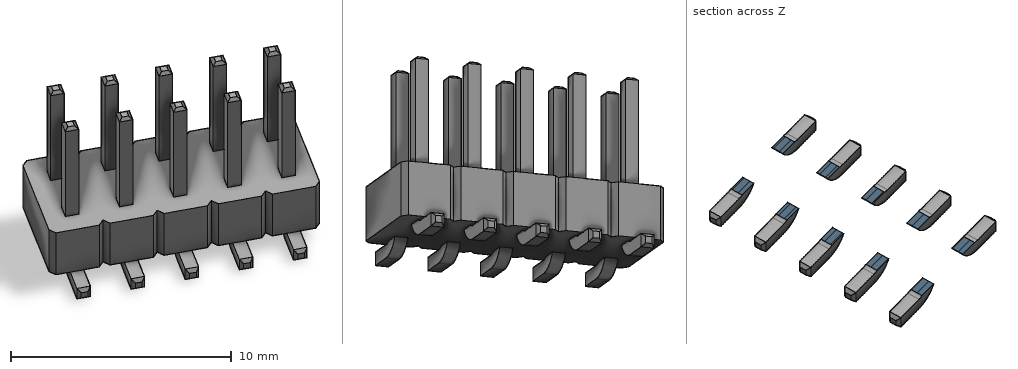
import cadquery as cq
import math

pitch = 2.54
row_count = 5

body_length = row_count * pitch
body_width = 5.1
body_height = 2.54
body_bottom = 0.72
notch_depth = 0.29
notch_half_length = 0.25

pin_side = 0.64
pin_top = 8.53
lead_span = 7.55
bend_outer_radius = 1.27
bend_inner_radius = bend_outer_radius - pin_side
tip_flat = 0.32
post_tip_length = 0.13
lead_tip_length = 0.17

post_center = pitch / 2
post_inner_face = post_center - pin_side / 2
post_outer_face = post_center + pin_side / 2
bend_center_x = post_inner_face + bend_outer_radius
post_end = pin_top - post_tip_length
lead_end = lead_span / 2 - lead_tip_length
row_positions = [(row - (row_count - 1) / 2) * pitch for row in range(row_count)]


def make_body():
    """Block with bevelled corners and a V-notch between neighbouring rows."""
    edge = body_width / 2
    notch_root = edge - notch_depth
    half_pitch = pitch / 2
    right_flank = [(notch_root, -body_length / 2)]
    for y in row_positions:
        right_flank += [
            (edge, y - half_pitch + notch_half_length),
            (edge, y + half_pitch - notch_half_length),
            (notch_root, y + half_pitch),
        ]
    left_flank = [(-x, y) for x, y in reversed(right_flank)]
    return (
        cq.Workplane("XY")
        .workplane(offset=body_bottom)
        .polyline(right_flank + left_flank)
        .close()
        .extrude(body_height)
    )


def make_tip(base, length):
    """Truncated square pyramid standing on the given plane."""
    return (
        cq.Workplane(base)
        .rect(pin_side, pin_side)
        .workplane(offset=length)
        .rect(tip_flat, tip_flat)
        .loft(ruled=True)
    )


def make_pin():
    """Right-hand pin at Y = 0: vertical post bent outwards into a flat lead."""
    diagonal = math.sqrt(0.5)
    outer_mid = (
        bend_center_x - bend_outer_radius * diagonal,
        bend_outer_radius - bend_outer_radius * diagonal,
    )
    inner_mid = (
        bend_center_x - bend_inner_radius * diagonal,
        bend_outer_radius - bend_inner_radius * diagonal,
    )
    wire = (
        cq.Workplane("XZ")
        .moveTo(post_inner_face, post_end)
        .lineTo(post_inner_face, bend_outer_radius)
        .threePointArc(outer_mid, (bend_center_x, 0))
        .lineTo(lead_end, 0)
        .lineTo(lead_end, pin_side)
        .lineTo(bend_center_x, pin_side)
        .threePointArc(inner_mid, (post_outer_face, bend_outer_radius))
        .lineTo(post_outer_face, post_end)
        .close()
        .extrude(pin_side / 2, both=True)
    )
    post_plane = cq.Plane(origin=(post_center, 0, post_end), normal=(0, 0, 1))
    lead_plane = cq.Plane(origin=(lead_end, 0, pin_side / 2), xDir=(0, 1, 0), normal=(1, 0, 0))
    return (
        wire
        .union(make_tip(post_plane, post_tip_length))
        .union(make_tip(lead_plane, lead_tip_length))
    )


right_pin = make_pin()
left_pin = right_pin.mirror("YZ")

result = make_body()
for row_y in row_positions:
    for pin in (left_pin, right_pin):
        result = result.union(pin.translate((0, row_y, 0)))